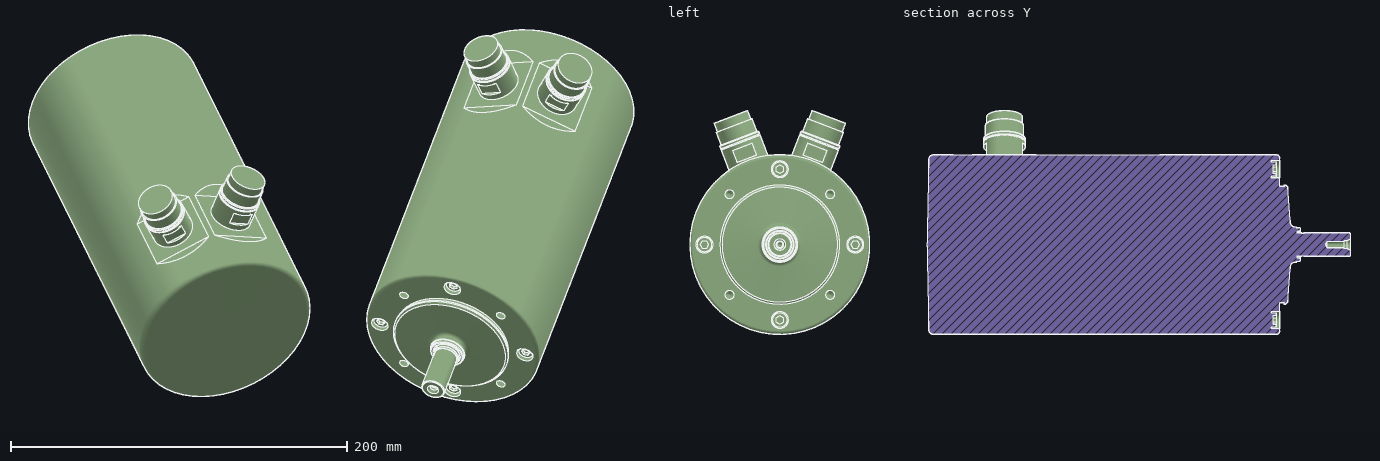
import cadquery as cq
import math


housing_radius = 53.55
housing_length = 209.0
front_edge_round = 2.0
rear_edge_round = 3.0
rear_cone_height = 1.0

spigot_radius = 35.5
spigot_height = 4.8
spigot_edge = 1.3
spigot_undercut_radius = 34.8
spigot_undercut_width = 2.5
front_cone_height = 1.5
front_cone_inner_radius = 13.4
boss_radius = 10.5
boss_step_x = -10.0
boss_tip_radius = 10.0
boss_tip_chamfer = 0.5
boss_face_x = -12.3

seal_outer_radius = 8.45
seal_inner_radius = 7.95
seal_mouth_depth = 0.8
seal_depth = 2.0

shaft_radius = 7.0
shaft_end_x = -42.0
shaft_end_chamfer = 0.5
shaft_groove_radius = 6.8
shaft_groove_front_x = -14.4
shaft_groove_width = 1.5
center_hole_diameter = 3.5
center_hole_depth = 13.9
center_relief_diameter = 4.5
center_relief_depth = 3.8
center_countersink_diameter = 6.8
center_countersink_angle = 60

screw_circle_radius = 44.9
flange_hole_count = 4
counterbore_diameter = 10.0
counterbore_depth = 5.0
screw_head_diameter = 8.5
screw_head_height = 3.0
socket_corner_diameter = 5.0
socket_depth = 2.0
tapped_circle_radius = 42.3
tapped_start_angle = 45
tapped_hole_diameter = 5.3
tapped_hole_depth = 10.0
drill_point_angle = 118

connector_x = 163.8
connector_tilt = 21
connector_sides = (1, -1)
seat_height = 50.7
seat_half_width = 18.1
seat_wall_angle = 20
seat_cutter_margin = 2.5

connector_top = 81.5
cap_radius = 10.7
cap_length = 5.5
sleeve_radius = 11.47
sleeve_length = 8.0
ring_radius = 12.47
ring_length = 2.0
ring_chamfer = 0.5
neck_groove_radius = 11.3
neck_groove_length = 0.8
neck_radius = 12.47
flat_distance = 10.8
flat_bottom = 54.7
flat_length = 7.5


def bore(x, diameter, depth):
    """Cylinder along +X on the motor axis that starts at x."""
    return cq.Workplane("YZ", origin=(x, 0, 0)).circle(diameter / 2).extrude(depth)


def around_axis(shape, radius, start_angle):
    """List of copies of a shape on the motor axis, spread evenly over a circle of holes."""
    moved = shape.translate((0, radius, 0))
    pitch = 360 / flange_hole_count
    return [moved.rotate((0, 0, 0), (1, 0, 0), start_angle + i * pitch) for i in range(flange_hole_count)]


def cone(x, diameter, tip_angle):
    """Cone on the motor axis with its base at x and its tip toward +X."""
    radius = diameter / 2
    height = radius / math.tan(math.radians(tip_angle / 2))
    return (
        cq.Workplane("XY")
        .moveTo(x, 0)
        .lineTo(x, radius)
        .lineTo(x + height, 0)
        .close()
        .revolve(360, (0, 0, 0), (1, 0, 0))
    )


def drilled_hole(x, diameter, depth):
    """Blind hole along +X from x with a conical drill point."""
    return bore(x, diameter, depth).union(cone(x + depth, diameter, drill_point_angle))


def make_turned_body():
    """Housing, spigot, boss and shaft as one revolved outline."""
    front_cone_x = -spigot_height - front_cone_height
    groove_rear_x = shaft_groove_front_x + shaft_groove_width
    seal_mouth_x = boss_face_x + seal_mouth_depth
    seal_floor_x = boss_face_x + seal_depth
    arc_middle = 1 - math.sqrt(0.5)
    front_arc_offset = front_edge_round * arc_middle
    rear_arc_offset = rear_edge_round * arc_middle
    boss_arc_radius = front_cone_inner_radius - boss_radius
    boss_arc_x = front_cone_x - boss_arc_radius
    boss_arc_offset = boss_arc_radius * arc_middle
    return (
        cq.Workplane("XY")
        .moveTo(shaft_end_x, 0)
        .lineTo(shaft_end_x, shaft_radius - shaft_end_chamfer)
        .lineTo(shaft_end_x + shaft_end_chamfer, shaft_radius)
        .lineTo(shaft_groove_front_x, shaft_radius)
        .lineTo(shaft_groove_front_x, shaft_groove_radius)
        .lineTo(groove_rear_x, shaft_groove_radius)
        .lineTo(groove_rear_x, shaft_radius)
        .lineTo(seal_floor_x, shaft_radius)
        .lineTo(seal_floor_x, seal_inner_radius)
        .lineTo(seal_mouth_x, seal_inner_radius)
        .lineTo(boss_face_x, seal_outer_radius)
        .lineTo(boss_face_x, boss_tip_radius - boss_tip_chamfer)
        .lineTo(boss_face_x + boss_tip_chamfer, boss_tip_radius)
        .lineTo(boss_step_x, boss_tip_radius)
        .lineTo(boss_step_x, boss_radius)
        .lineTo(boss_arc_x, boss_radius)
        .threePointArc(
            (front_cone_x - boss_arc_offset, boss_radius + boss_arc_offset),
            (front_cone_x, front_cone_inner_radius),
        )
        .lineTo(-spigot_height, spigot_radius - spigot_edge)
        .lineTo(-spigot_height + spigot_edge, spigot_radius)
        .lineTo(-spigot_undercut_width, spigot_radius)
        .lineTo(-spigot_undercut_width, spigot_undercut_radius)
        .lineTo(0, spigot_undercut_radius)
        .lineTo(0, housing_radius - front_edge_round)
        .threePointArc(
            (front_arc_offset, housing_radius - front_arc_offset),
            (front_edge_round, housing_radius),
        )
        .lineTo(housing_length - rear_edge_round, housing_radius)
        .threePointArc(
            (housing_length - rear_arc_offset, housing_radius - rear_arc_offset),
            (housing_length, housing_radius - rear_edge_round),
        )
        .lineTo(housing_length + rear_cone_height, 0)
        .close()
        .revolve(360, (0, 0, 0), (1, 0, 0))
    )


def make_screw_recess():
    """Counterbore volume around a sunk screw head with a hexagon socket."""
    head_x = counterbore_depth - screw_head_height
    head = bore(head_x, screw_head_diameter, screw_head_height)
    socket = (
        cq.Workplane("YZ", origin=(head_x, 0, 0))
        .polygon(6, socket_corner_diameter)
        .extrude(socket_depth)
    )
    return bore(0, counterbore_diameter, counterbore_depth).cut(head.cut(socket))


def make_center_hole():
    """Blind center hole with a short relief bore and a countersink in the shaft end."""
    hole = drilled_hole(shaft_end_x, center_hole_diameter, center_hole_depth)
    relief = bore(shaft_end_x, center_relief_diameter, center_relief_depth)
    countersink = cone(shaft_end_x, center_countersink_diameter, center_countersink_angle)
    return hole.union(relief).union(countersink)


def tilt(shape, side):
    """Turn an upright shape about the motor axis toward one connector side."""
    return shape.rotate((0, 0, 0), (1, 0, 0), side * connector_tilt)


def make_seat_cutter():
    """Upright trapezoid prism that leaves a flat seat with two sloping walls."""
    cutter_height = housing_radius - seat_height + seat_cutter_margin
    flare = cutter_height / math.tan(math.radians(seat_wall_angle))
    return (
        cq.Workplane("XZ", origin=(connector_x, 0, seat_height))
        .moveTo(-seat_half_width, 0)
        .lineTo(seat_half_width, 0)
        .lineTo(seat_half_width + flare, cutter_height)
        .lineTo(-seat_half_width - flare, cutter_height)
        .close()
        .extrude(housing_radius, both=True)
    )


def make_motor():
    motor = make_turned_body()
    motor = motor.cut(make_center_hole())
    screw_recesses = around_axis(make_screw_recess(), screw_circle_radius, 0)
    tapped_hole = drilled_hole(0, tapped_hole_diameter, tapped_hole_depth)
    tapped_holes = around_axis(tapped_hole, tapped_circle_radius, tapped_start_angle)
    for hole in screw_recesses + tapped_holes:
        motor = motor.cut(hole)
    for side in connector_sides:
        motor = motor.cut(tilt(make_seat_cutter(), side))
    return motor


def make_connector(side):
    """Stepped round connector that stands on its seat."""
    cap_bottom = connector_top - cap_length
    ring_top = cap_bottom - sleeve_length
    ring_bottom = ring_top - ring_length
    neck_top = ring_bottom - neck_groove_length
    connector = (
        cq.Workplane("XZ")
        .moveTo(0, seat_height)
        .lineTo(neck_radius, seat_height)
        .lineTo(neck_radius, neck_top)
        .lineTo(neck_groove_radius, neck_top)
        .lineTo(neck_groove_radius, ring_bottom)
        .lineTo(ring_radius, ring_bottom)
        .lineTo(ring_radius, ring_top - ring_chamfer)
        .lineTo(ring_radius - ring_chamfer, ring_top)
        .lineTo(sleeve_radius, ring_top)
        .lineTo(sleeve_radius, cap_bottom)
        .lineTo(cap_radius, cap_bottom)
        .lineTo(cap_radius, connector_top)
        .lineTo(0, connector_top)
        .close()
        .revolve(360, (0, 0, 0), (0, 1, 0))
    )
    flat_center_height = flat_bottom + flat_length / 2
    for direction in (1, -1):
        flat_cutter = cq.Workplane("XY").box(neck_radius, 2 * neck_radius, flat_length)
        flat_x = direction * (flat_distance + neck_radius / 2)
        connector = connector.cut(flat_cutter.translate((flat_x, 0, flat_center_height)))
    return tilt(connector.translate((connector_x, 0, 0)), side)


motor = make_motor()
connectors = [make_connector(side) for side in connector_sides]

result = cq.Compound.makeCompound([motor.val(), *[connector.val() for connector in connectors]])